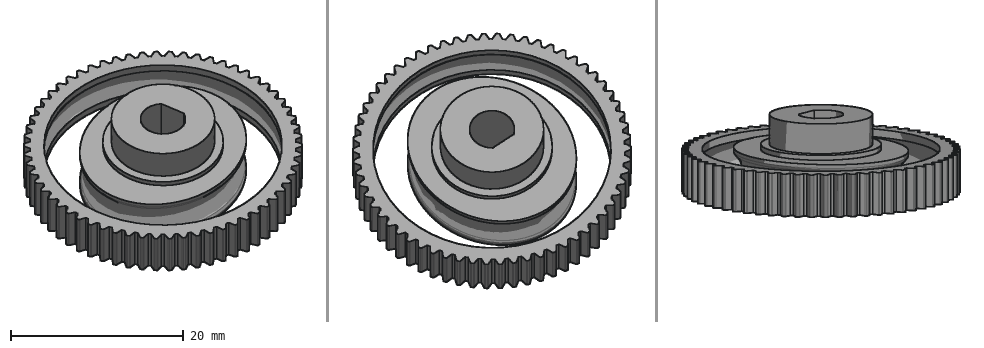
import cadquery as cq
import math

race_height = 5.0
mid_height = race_height / 2

tooth_count = 62
tip_radius = 16.15
root_radius = 15.42
tip_width = 0.4
root_width = 0.35
tip_fillet = 0.13
ring_bore_diameter = 27.63
ring_groove_radius = 2.25
ring_groove_depth = 0.65

cam_semi_x = 9.3
cam_semi_y = 10.57
cam_groove_radius = 2.25
cam_groove_depth = 0.97
cam_lip_fillet = 0.5
lip_tolerance = 0.03
shoulder_diameter = 14.0
shoulder_height = 0.58
hub_diameter = 12.0
total_height = 9.1
shaft_diameter = 5.2
shaft_flat_offset = 2.1


def polar_point(radius, angle):
    """XY point at a radius and an angle from the +X axis."""
    return (radius * math.cos(angle), radius * math.sin(angle))


def groove_half_mouth(radius, depth):
    """Half the opening height of a circular groove of the given depth."""
    return math.sqrt(radius**2 - (radius - depth) ** 2)


def tooth_outline():
    """Closed outline of the toothed rim; one tooth is centred on the +Y axis."""
    pitch_angle = 2 * math.pi / tooth_count
    half_tip_angle = tip_width / (2 * tip_radius)
    half_root_angle = pitch_angle / 2 - root_width / (2 * root_radius)
    points = []
    for index in range(tooth_count):
        center_angle = math.pi / 2 + index * pitch_angle
        points.append(polar_point(root_radius, center_angle - half_root_angle))
        points.append(polar_point(tip_radius, center_angle - half_tip_angle))
        points.append(polar_point(tip_radius, center_angle + half_tip_angle))
        points.append(polar_point(root_radius, center_angle + half_root_angle))
    return points


def is_tip_edge(edge):
    """True for the upright edges at the tooth tips, false for those at the roots."""
    center = edge.Center()
    return math.hypot(center.x, center.y) > (tip_radius + root_radius) / 2


def make_bore_cutter():
    """Round bore with a circular-arc ball groove at mid height."""
    bore_radius = ring_bore_diameter / 2
    groove_bottom_radius = bore_radius + ring_groove_depth
    half_mouth = groove_half_mouth(ring_groove_radius, ring_groove_depth)
    return (
        cq.Workplane("XZ")
        .lineTo(bore_radius, 0)
        .lineTo(bore_radius, mid_height - half_mouth)
        .threePointArc((groove_bottom_radius, mid_height), (bore_radius, mid_height + half_mouth))
        .lineTo(bore_radius, race_height)
        .lineTo(0, race_height)
        .close()
        .revolve(360, (0, 0, 0), (0, 1, 0))
    )


def make_ring():
    """Toothed ring with rounded tooth tips and a ball groove around its bore."""
    ring = cq.Workplane("XY").polyline(tooth_outline()).close().extrude(race_height)
    ring = ring.edges("|Z").filter(is_tip_edge).fillet(tip_fillet)
    return ring.cut(make_bore_cutter())


def make_cam_groove():
    """Round groove cutter that follows the elliptical rim of the cam."""
    offset = cam_groove_radius - cam_groove_depth
    path_semi_x = cam_semi_x + offset
    path_semi_y = cam_semi_y + offset
    path = cq.Workplane("XY").workplane(offset=mid_height).ellipse(path_semi_x, path_semi_y)
    section = cq.Workplane("XZ").center(path_semi_x, mid_height).circle(cam_groove_radius)
    return section.sweep(path)


def is_lip_edge(edge):
    """True for the two closed edges where the groove meets the cam rim."""
    height_from_middle = abs(edge.Center().z - mid_height)
    half_mouth = groove_half_mouth(cam_groove_radius, cam_groove_depth)
    return abs(height_from_middle - half_mouth) < lip_tolerance


def make_shaft_hole():
    """D-shaped through hole with its flat on the +Y side."""
    radius = shaft_diameter / 2
    hole = cq.Workplane("XY").circle(radius).extrude(total_height)
    below_flat = (
        cq.Workplane("XY")
        .rect(shaft_diameter, shaft_diameter)
        .extrude(total_height)
        .translate((0, shaft_flat_offset - radius, 0))
    )
    return hole.intersect(below_flat)


def make_cam():
    """Elliptical grooved cam carrying a stepped round hub."""
    cam = cq.Workplane("XY").ellipse(cam_semi_x, cam_semi_y).extrude(race_height)
    cam = cam.cut(make_cam_groove())
    cam = cam.edges().filter(is_lip_edge).fillet(cam_lip_fillet)
    shoulder = cq.Workplane("XY").circle(shoulder_diameter / 2).extrude(race_height + shoulder_height)
    hub = cq.Workplane("XY").circle(hub_diameter / 2).extrude(total_height)
    return cam.union(shoulder).union(hub).cut(make_shaft_hole())


ring = make_ring()
cam = make_cam()
result = cq.Compound.makeCompound([ring.val(), cam.val()])